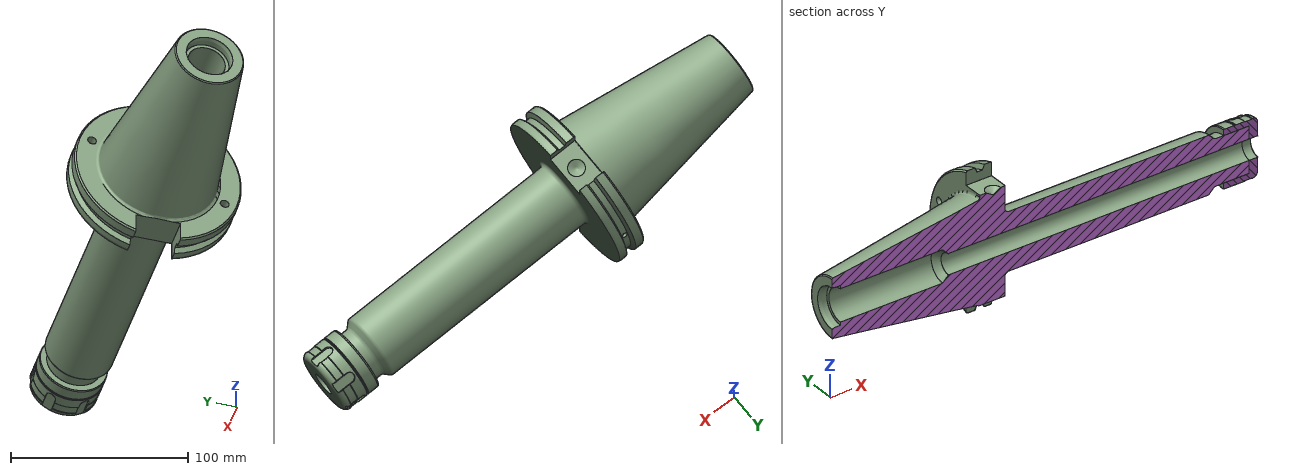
import cadquery as cq
import math

TOTAL_LENGTH = 296.5

TAPER_SLOPE = 7 / 24
TAPER_SMALL_DIA = 40.3
TAPER_END_CHAMFER = 0.5
TAPER_LENGTH = 101.0
TAPER_LARGE_DIA = TAPER_SMALL_DIA + TAPER_LENGTH * TAPER_SLOPE

FLANGE_DIA = 98.2
FLANGE_START = 103.0
FLANGE_WIDTH = 17.8
FLANGE_END = FLANGE_START + FLANGE_WIDTH
FLANGE_FRONT_CHAMFER = 1.0
FLANGE_REAR_CHAMFER_LENGTH = 1.5
FLANGE_REAR_CHAMFER_DEPTH = 0.3
GROOVE_FLOOR_DIA = 92.0
GROOVE_CENTER = 112.5
GROOVE_FLOOR_WIDTH = 4.0
GROOVE_MOUTH_WIDTH = 6.5

DRIVE_SLOT_WIDTH = 26.0
UPPER_SLOT_FLOOR = 38.0
LOWER_SLOT_FLOOR = 35.5
DIMPLE_DIA = 10.0
DIMPLE_CONE_ANGLE = 118.0

COOLANT_ANGLE = 20.0
COOLANT_RADIUS = 41.5
COOLANT_DIA = 5.0
PLUG_DIA = 3.3

SHAFT_DIA = 40.0
SHAFT_FILLET = 2.7
NOSE_DIA = 32.0
SHOULDER_START = 262.5
SHOULDER_FILLET = 2.0
NOSE_END = 290.7

MOUTH_DIA = 26.0
MOUTH_CHAMFER_DEPTH = 0.5
MOUTH_CHAMFER_LENGTH = 2.5
MOUTH_DEPTH = 6.0
BORE_DIA = 22.0
BORE_DEPTH = 77.0
THROUGH_DIA = 14.0

NUT_START = 272.5
NUT_DIA = 40.0
NUT_REAR_CHAMFER_LENGTH = 1.0
NUT_REAR_CHAMFER_DEPTH = 0.3
NUT_LINE_GROOVE_X = 280.0
NUT_LINE_GROOVE_WIDTH = 1.2
NUT_BAND_START = 287.5
NUT_BAND_END = 292.7
NUT_GROOVE_DEPTH = 0.3
NUT_GROOVE_RAMP = 0.3
NUT_FRONT_FILLET = 3.5
SLOT_COUNT = 6
SLOT_WIDTH = 6.2
SLOT_START = 282.5
SLOT_FLOOR_RADIUS = 18.7


def x_cylinder(dia, start, end):
    """Cylinder on the tool axis."""
    return cq.Workplane("YZ", origin=(start, 0, 0)).circle(dia / 2).extrude(end - start)


def revolve_profile(points):
    """Solid of revolution about X from (x, radius) points."""
    return cq.Workplane("XY").polyline(points).close().revolve(360, (0, 0, 0), (1, 0, 0))


def root_fillet(face_x, dia, reach):
    """Ring that blends a cylinder into a flange face; a negative reach points to -X."""
    radius = dia / 2
    size = abs(reach)
    sag = 1 - math.sqrt(0.5)
    return (
        cq.Workplane("XY")
        .moveTo(face_x, 0)
        .lineTo(face_x, radius + size)
        .threePointArc((face_x + reach * sag, radius + size * sag), (face_x + reach, radius))
        .lineTo(face_x + reach, 0)
        .close()
        .revolve(360, (0, 0, 0), (1, 0, 0))
    )


def taper_shank():
    cone = revolve_profile([
        (0, 0),
        (0, TAPER_SMALL_DIA / 2),
        (TAPER_LENGTH, TAPER_LARGE_DIA / 2),
        (TAPER_LENGTH, 0),
    ])
    return cone.faces("<X").chamfer(TAPER_END_CHAMFER)


def flange():
    radius = FLANGE_DIA / 2
    floor_radius = GROOVE_FLOOR_DIA / 2
    disc = revolve_profile([
        (FLANGE_START, 0),
        (FLANGE_START, radius - FLANGE_FRONT_CHAMFER),
        (FLANGE_START + FLANGE_FRONT_CHAMFER, radius),
        (GROOVE_CENTER - GROOVE_MOUTH_WIDTH / 2, radius),
        (GROOVE_CENTER - GROOVE_FLOOR_WIDTH / 2, floor_radius),
        (GROOVE_CENTER + GROOVE_FLOOR_WIDTH / 2, floor_radius),
        (GROOVE_CENTER + GROOVE_MOUTH_WIDTH / 2, radius),
        (FLANGE_END - FLANGE_REAR_CHAMFER_LENGTH, radius),
        (FLANGE_END, radius - FLANGE_REAR_CHAMFER_DEPTH),
        (FLANGE_END, 0),
    ])
    disc = disc.union(root_fillet(FLANGE_START, TAPER_LARGE_DIA, TAPER_LENGTH - FLANGE_START))
    return disc.cut(drive_slots()).cut(dimple()).cut(coolant_holes())


def drive_slots():
    slot = cq.Workplane("XY").box(
        FLANGE_END - TAPER_LENGTH, DRIVE_SLOT_WIDTH, FLANGE_DIA, centered=(False, True, False)
    )
    upper = slot.translate((TAPER_LENGTH, 0, UPPER_SLOT_FLOOR))
    lower = slot.translate((TAPER_LENGTH, 0, -LOWER_SLOT_FLOOR - FLANGE_DIA))
    return upper.union(lower)


def dimple():
    """Conical spot in the floor of the upper drive slot."""
    radius = DIMPLE_DIA / 2
    depth = radius / math.tan(math.radians(DIMPLE_CONE_ANGLE / 2))
    cone = cq.Solid.makeCone(0, radius, depth)
    return cq.Workplane(cone).translate((GROOVE_CENTER, 0, UPPER_SLOT_FLOOR - depth))


def coolant_holes():
    """Two opposite axial holes, each met by a radial plug hole from the groove."""
    axial = cq.Workplane("YZ", origin=(FLANGE_START, COOLANT_RADIUS, 0))
    axial = axial.circle(COOLANT_DIA / 2).extrude(GROOVE_CENTER - FLANGE_START)
    plug = cq.Workplane("XZ", origin=(GROOVE_CENTER, COOLANT_RADIUS, 0))
    plug = plug.circle(PLUG_DIA / 2).extrude(COOLANT_RADIUS - FLANGE_DIA / 2)
    hole = axial.union(plug)
    first = hole.rotate((0, 0, 0), (1, 0, 0), COOLANT_ANGLE)
    second = first.rotate((0, 0, 0), (1, 0, 0), 180)
    return first.union(second)


def shaft_and_nose():
    shoulder_end = SHOULDER_START + (SHAFT_DIA - NOSE_DIA) / 2
    shaft = revolve_profile([
        (FLANGE_END, 0),
        (FLANGE_END, SHAFT_DIA / 2),
        (SHOULDER_START, SHAFT_DIA / 2),
        (shoulder_end, NOSE_DIA / 2),
        (NOSE_END, NOSE_DIA / 2),
        (NOSE_END, 0),
    ])
    shoulder_edges = cq.selectors.BoxSelector(
        (SHOULDER_START - SHOULDER_FILLET, -SHAFT_DIA, -SHAFT_DIA),
        (shoulder_end + SHOULDER_FILLET, SHAFT_DIA, SHAFT_DIA),
        boundingbox=True,
    )
    circles = shaft.edges("%CIRCLE").edges(shoulder_edges)
    rounded = circles.fillet(SHOULDER_FILLET)
    return rounded.union(root_fillet(FLANGE_END, SHAFT_DIA, SHAFT_FILLET))


def holder_bore():
    mouth_radius = MOUTH_DIA / 2
    step = (BORE_DIA - THROUGH_DIA) / 2
    return revolve_profile([
        (0, 0),
        (0, mouth_radius + MOUTH_CHAMFER_DEPTH),
        (MOUTH_CHAMFER_LENGTH, mouth_radius),
        (MOUTH_DEPTH, mouth_radius),
        (MOUTH_DEPTH, BORE_DIA / 2),
        (BORE_DEPTH, BORE_DIA / 2),
        (BORE_DEPTH + step, THROUGH_DIA / 2),
        (NOSE_END, THROUGH_DIA / 2),
        (NOSE_END, 0),
    ])


def make_holder():
    return taper_shank().union(flange()).union(shaft_and_nose()).cut(holder_bore())


def nut_blank():
    radius = NUT_DIA / 2
    blank = revolve_profile([
        (NUT_START, 0),
        (NUT_START, radius - NUT_REAR_CHAMFER_DEPTH),
        (NUT_START + NUT_REAR_CHAMFER_LENGTH, radius),
        (TOTAL_LENGTH, radius),
        (TOTAL_LENGTH, 0),
    ])
    blank = blank.faces(">X").edges().fillet(NUT_FRONT_FILLET)
    nose_seat = x_cylinder(NOSE_DIA, NUT_START, NOSE_END)
    opening = x_cylinder(THROUGH_DIA, NOSE_END, TOTAL_LENGTH)
    return blank.cut(nose_seat).cut(opening)


def nut_groove(start, end):
    """Shallow turned groove around the nut, with ramped ends."""
    radius = NUT_DIA / 2
    floor_radius = radius - NUT_GROOVE_DEPTH
    return revolve_profile([
        (start, radius),
        (start + NUT_GROOVE_RAMP, floor_radius),
        (end - NUT_GROOVE_RAMP, floor_radius),
        (end, radius),
    ])


def wrench_slot():
    """Round-ended slot on the -Y side, open at the front of the nut."""
    radius = SLOT_WIDTH / 2
    return (
        cq.Workplane("XZ", origin=(0, -SLOT_FLOOR_RADIUS, 0))
        .moveTo(TOTAL_LENGTH, radius)
        .lineTo(SLOT_START + radius, radius)
        .threePointArc((SLOT_START, 0), (SLOT_START + radius, -radius))
        .lineTo(TOTAL_LENGTH, -radius)
        .close()
        .extrude(NUT_DIA / 2)
    )


def make_nut():
    nut = nut_blank()
    line_groove_end = NUT_LINE_GROOVE_X + NUT_LINE_GROOVE_WIDTH
    nut = nut.cut(nut_groove(NUT_LINE_GROOVE_X, line_groove_end))
    nut = nut.cut(nut_groove(NUT_BAND_START, NUT_BAND_END))
    for index in range(SLOT_COUNT):
        angle = index * 360 / SLOT_COUNT
        nut = nut.cut(wrench_slot().rotate((0, 0, 0), (1, 0, 0), angle))
    return nut


holder = make_holder()
nut = make_nut()
result = cq.Compound.makeCompound([holder.val(), nut.val()])